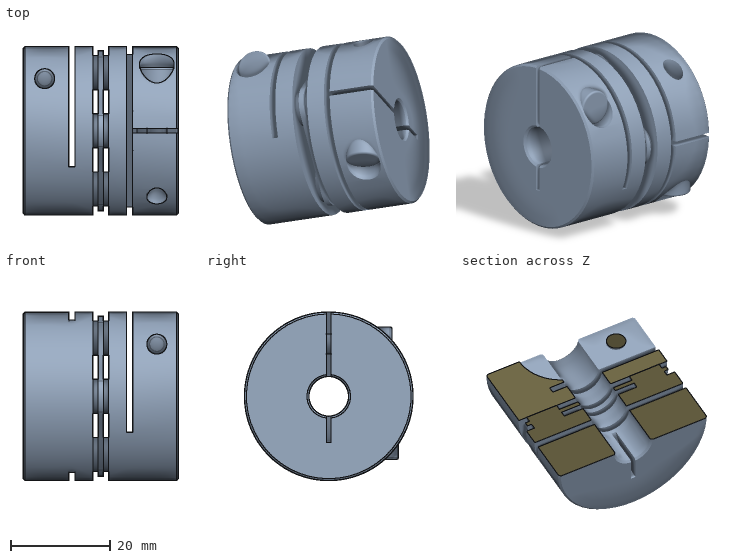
import cadquery as cq
import math


total_length = 31.3

hub_radius = 17.0
hub_length = 14.08
bore_radius = 3.98
edge_chamfer = 0.4

slot_offset = 9.2
slot_width = 1.22
slot_floor = -7.25

slit_width = 1.0
slit_cutter_radius = 9.28

screw_offset = 4.35
screw_level = 10.5
shank_radius = 2.0
tip_fillet = 0.55
tip_level = 10.55
head_radius = 3.5
head_seat_level = -8.75
head_end_level = -12.75
head_fillet = 0.4

disc_thickness = 1.02
disc_corner_radius = 4.42
spacer_radius = 3.47
spacer_circle_radius = 11.73
spacer_count = 4

hub_gap = total_length - 2 * hub_length
outer_face = -total_length / 2
inner_face = outer_face + hub_length
screw_x = outer_face + screw_offset


def cylinder_along_x(radius, start, end, y=0.0, z=0.0):
    """Cylinder parallel to X, from start to end."""
    return cq.Workplane("YZ", origin=(start, y, z)).circle(radius).extrude(end - start)


def cylinder_along_screw(radius, start, end):
    """Cylinder on the clamp screw axis, from level start to level end."""
    return cq.Workplane("XY", origin=(screw_x, screw_level, start)).circle(radius).extrude(end - start)


def cut_slot(hub):
    """Cut the slot across the hub, open towards +Y."""
    slot_depth = hub_radius - slot_floor
    slot = cq.Workplane("XY").box(slot_width, slot_depth, 2 * hub_radius, centered=(False, False, True))
    return hub.cut(slot.translate((outer_face + slot_offset, slot_floor, 0)))


def cut_slit(hub):
    """Cut the slit from the +Y rim past the bore, ending in the cutter's arc."""
    channel = cq.Workplane("XY").box(slot_offset, hub_radius, slit_width, centered=(False, False, True))
    cutter = cq.Workplane("XY").circle(slit_cutter_radius).extrude(slit_width / 2, both=True)
    return hub.cut(channel.translate((outer_face, 0, 0))).cut(cutter.translate((outer_face, 0, 0)))


def cut_screw_hole(hub):
    """Cut the screw hole through the hub and the head recess on the -Z side."""
    hole = cylinder_along_screw(shank_radius, -hub_radius, hub_radius)
    recess = cylinder_along_screw(head_radius, -hub_radius, head_seat_level)
    return hub.cut(hole).cut(recess)


def make_hub():
    """Hub on the -X side, with its slot and slit open towards +Y."""
    hub = cylinder_along_x(hub_radius, outer_face, inner_face)
    hub = hub.cut(cylinder_along_x(bore_radius, outer_face, inner_face))
    hub = hub.faces("<X").edges().chamfer(edge_chamfer)
    return cut_screw_hole(cut_slit(cut_slot(hub)))


def make_clamp_screw():
    """Clamp screw of the -X hub, its head towards -Z."""
    head = cylinder_along_screw(head_radius, head_end_level, head_seat_level)
    head = head.faces("<Z").edges().fillet(head_fillet)
    shank = cylinder_along_screw(shank_radius, head_seat_level, tip_level)
    shank = shank.faces(">Z").edges().fillet(tip_fillet)
    return head.union(shank)


def make_disc_pack():
    """Square disc standing on its rounded corner, with spacers on both faces."""
    disc_side = math.sqrt(2) * spacer_circle_radius + 2 * disc_corner_radius
    disc = cq.Workplane("YZ").rect(disc_side, disc_side).extrude(disc_thickness / 2, both=True)
    disc = disc.edges("|X").fillet(disc_corner_radius)
    disc = disc.rotate((0, 0, 0), (1, 0, 0), 45)
    for index in range(spacer_count):
        angle = 2 * math.pi * index / spacer_count
        y = spacer_circle_radius * math.cos(angle)
        z = spacer_circle_radius * math.sin(angle)
        disc = disc.union(cylinder_along_x(spacer_radius, -hub_gap / 2, hub_gap / 2, y, z))
    return disc.cut(cylinder_along_x(bore_radius, -hub_gap / 2, hub_gap / 2))


def to_far_side(body):
    """Mirror a body to the +X side and give it a quarter turn about X."""
    return body.mirror("YZ").rotate((0, 0, 0), (1, 0, 0), 90)


near_hub = make_hub()
near_screw = make_clamp_screw()

far_hub = to_far_side(near_hub).union(make_disc_pack())
far_screw = to_far_side(near_screw)

result = cq.Compound.makeCompound([near_hub.val(), far_hub.val(), near_screw.val(), far_screw.val()])